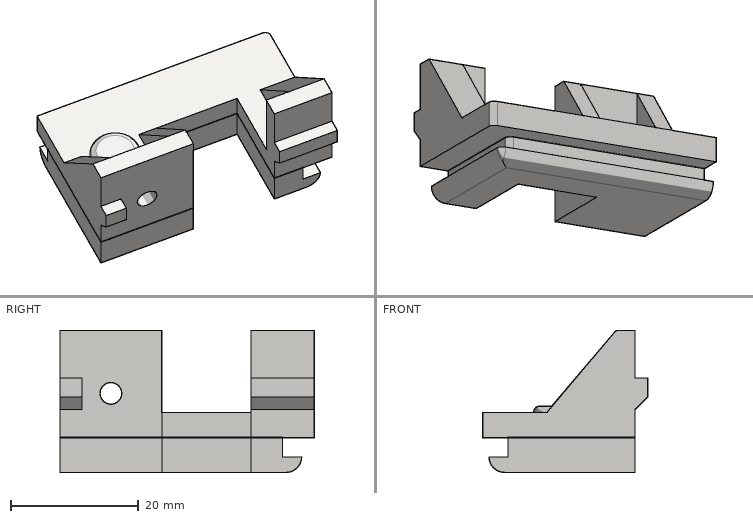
import cadquery as cq
import math

length = 40.0
rear_x = 24.0
corner_radius = 1.0

foot_height = 2.5
foot_front_x = 1.0
foot_end_y = 38.0
neck_front_x = 4.0
neck_end_y = 35.0
neck_top_z = 5.45
neck_clearance = 0.1

plate_thickness = 4.0
plate_top_z = neck_top_z + plate_thickness
bracket_top_z = 22.35
opening_front_x = 10.0
opening_start_y = 16.0
opening_end_y = 30.0

wall_thickness = 3.0
wall_front_x = rear_x - wall_thickness
side_rib_thickness = 3.0
near_rib_front_x = 10.1
far_rib_thickness = 6.0

lug_depth = 2.0
lug_top_z = 14.9
lug_tip_bottom_z = 11.9
lug_root_bottom_z = lug_tip_bottom_z - lug_depth
near_lug_width = 3.5

button_x = 12.0
button_y = opening_start_y / 2
button_radius = 4.0
button_height = 1.0
wall_hole_diameter = 3.35
wall_hole_z = plate_top_z + 3.0


def slab(front_x, end_y, bottom_z, height):
    """Block from front_x to the rear face, with its front far corner rounded."""
    block = cq.Workplane("XY").box(rear_x - front_x, end_y, height, centered=False)
    block = block.translate((front_x, 0, bottom_z))
    return block.edges("|Z and <X and >Y").fillet(corner_radius)


def opening():
    """Rear notch that separates the two arms through the full height."""
    depth = rear_x - opening_front_x
    width = opening_end_y - opening_start_y
    notch = cq.Workplane("XY").box(depth, width, bracket_top_z, centered=False)
    return notch.translate((opening_front_x, opening_start_y, 0))


def extrude_along_y(outline, start_y, width):
    """Extrude an outline drawn on the XZ plane from start_y toward +Y."""
    return outline.extrude(-width).translate((0, start_y, 0))


def foot_corner():
    """Quarter round of the foot's lower edge, turned about the axis of its far front corner."""
    arc_center = corner_radius - foot_height

    def underside_z(radius):
        return foot_height - math.sqrt(foot_height**2 - (radius - arc_center) ** 2)

    middle = corner_radius / 2
    profile = (
        cq.Workplane("XZ").moveTo(0, foot_height)
        .lineTo(corner_radius, foot_height)
        .threePointArc((middle, underside_z(middle)), (0, underside_z(0)))
        .close()
    )
    axis_x = foot_front_x + corner_radius
    axis_y = foot_end_y - corner_radius
    return profile.revolve(360).translate((axis_x, axis_y, 0))


def foot():
    """Foot with quarter rounds along its front and far lower edges, joined round the corner."""
    blank_height = 2 * foot_height
    block = (
        cq.Workplane("XY").box(rear_x - foot_front_x, foot_end_y, foot_height, centered=False)
        .translate((foot_front_x, 0, 0))
    )
    front_blank = (
        cq.Workplane("XY").box(rear_x - foot_front_x, length, blank_height, centered=False)
        .translate((foot_front_x, 0, 0))
        .edges("|Y and <X and <Z").fillet(foot_height)
    )
    end_blank = (
        cq.Workplane("XY").box(rear_x, foot_end_y, blank_height, centered=False)
        .edges("|X and >Y and <Z").fillet(foot_height)
    )
    mitred = block.intersect(front_blank).intersect(end_blank)
    corner_block = (
        cq.Workplane("XY").box(corner_radius, corner_radius, foot_height, centered=False)
        .translate((foot_front_x, foot_end_y - corner_radius, 0))
    )
    rounded_corner = foot_corner().intersect(corner_block)
    return mitred.cut(corner_block).union(rounded_corner)


def make_base():
    neck = slab(neck_front_x, neck_end_y, foot_height, neck_top_z - foot_height)
    return foot().union(neck).cut(opening())


def rib(start_y, thickness, front_x=opening_front_x):
    outline = (
        cq.Workplane("XZ").moveTo(front_x, plate_top_z)
        .lineTo(wall_front_x, bracket_top_z)
        .lineTo(wall_front_x, plate_top_z)
        .close()
    )
    return extrude_along_y(outline, start_y, thickness)


def wall(start_y, width):
    height = bracket_top_z - plate_top_z
    upright = cq.Workplane("XY").box(wall_thickness, width, height, centered=False)
    return upright.translate((wall_front_x, start_y, plate_top_z))


def lug(start_y, width):
    tip_x = rear_x + lug_depth
    outline = (
        cq.Workplane("XZ").moveTo(rear_x, lug_root_bottom_z)
        .lineTo(tip_x, lug_tip_bottom_z)
        .lineTo(tip_x, lug_top_z)
        .lineTo(rear_x, lug_top_z)
        .close()
    )
    return extrude_along_y(outline, start_y, width)


def wall_hole():
    drill = cq.Workplane("YZ").center(button_y, wall_hole_z).circle(wall_hole_diameter / 2)
    return drill.extrude(wall_thickness).translate((wall_front_x, 0, 0))


def make_bracket():
    far_arm_width = length - opening_end_y
    bracket = slab(0, length, neck_top_z, plate_thickness).cut(opening())

    bracket = bracket.cut(slab(neck_front_x, neck_end_y, neck_top_z, neck_clearance))

    bracket = bracket.union(wall(0, opening_start_y))
    bracket = bracket.union(rib(0, side_rib_thickness, near_rib_front_x))
    bracket = bracket.union(rib(opening_start_y - side_rib_thickness, side_rib_thickness))
    bracket = bracket.union(lug(0, near_lug_width)).cut(wall_hole())

    bracket = bracket.union(wall(opening_end_y, far_arm_width))
    bracket = bracket.union(rib(length - far_rib_thickness, far_rib_thickness))
    return bracket.union(lug(opening_end_y, far_arm_width))


def make_button():
    """Round button whose rim is a full quarter round down to the plate."""
    top_radius = button_radius - button_height
    diagonal = button_height * math.sqrt(0.5)
    profile = (
        cq.Workplane("XZ").lineTo(button_radius, 0)
        .threePointArc((top_radius + diagonal, diagonal), (top_radius, button_height))
        .lineTo(0, button_height)
        .close()
    )
    disc = profile.revolve(360)
    return disc.translate((button_x, button_y, plate_top_z))


base = make_base()
bracket = make_bracket()
button = make_button()

result = cq.Compound.makeCompound([base.val(), bracket.val(), button.val()])